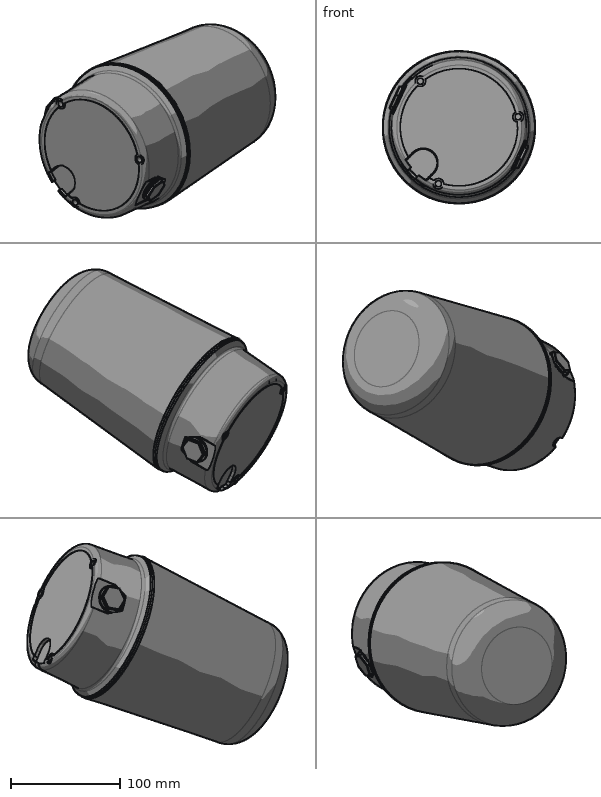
import cadquery as cq
import math


OVERALL_LENGTH = 219
LIP_RADIUS = 69.97
LIP_Y = 57
SHOULDER_RADIUS = 59.5
SHOULDER_Y = 194.0
UPPER_RADIUS = 58.5
UPPER_Y = 202.5
ROUND_MID_RADIUS = 52.5
ROUND_MID_Y = 211.5
CROWN_RADIUS = 36.0
CROWN_Y = 218.3
UPPER_BULGE = 0.33

SEAL_THICKNESS = 2.0
SEAL_OUTER_RADIUS = 69.5
SEAL_INNER_RADIUS = 65.7

FLANGE_TOP_Y = LIP_Y - SEAL_THICKNESS
FLANGE_EDGE_Y = 53.0
CHAMFER_END_Y = 49.5
CHAMFER_END_RADIUS = 65.3
NECK_SAG = 0.5
WALL_TOP_RADIUS = 64.0
WALL_TOP_Y = 46.5
WALL_BOTTOM_RADIUS = 61.8
FACE_FILLET = 4.5
FACE_RADIUS = WALL_BOTTOM_RADIUS - FACE_FILLET

SCREW_ANGLES = (10, 130, 250)
SCREW_CIRCLE_RADIUS = 55.0
SCREW_HOLE_RADIUS = 2.8
SCREW_HOLE_DEPTH = 8.8
BOSS_RADIUS = 4.8

PLATE_RADIUS = 53.7
PLATE_POCKET_DEPTH = 3.7
PLATE_SETBACK = 0.5

ENTRY_ANGLE = 225
ENTRY_CENTRE_RADIUS = 46.2
ENTRY_RADIUS = 13.5
ENTRY_WALL_STEP = 0.9
CHANNEL_HALF_WIDTH = 5.0
SCOOP_BACK_RADIUS = 59.1
SCOOP_DEPTH = 10.7

PLUG_ANGLES = (155, -25)
PLUG_Y = 20.0
SEAT_DISTANCE = 59.5
SEAT_HALF_WIDTH = 14.5
COLLAR_RADIUS = 12.5
COLLAR_THICKNESS = 1.8
NECK_RADIUS = 9.5
NECK_HEIGHT = 0.7
HEAD_RADIUS = 11.8
HEAD_HEIGHT = 3.3
HEAD_TURN = 13
HEAD_CHAMFER = 0.7

LUG_ANGLES = (30, 41, 60)
LUG_SPAN = 4.3
LUG_RADIUS = 70.3

MARGIN = 4.4


def revolve_about_y(profile):
    return profile.close().revolve(360, (0, 0, 0), (0, 1, 0))


def face_plane(depth=0):
    """Plane parallel to the mounting face, its normal pointing into the part (+Y)."""
    return cq.Workplane(cq.Plane((0, depth, 0), (-1, 0, 0), (0, 1, 0)))


def axial_cylinder(radius, start_y, length):
    return face_plane(start_y).circle(radius).extrude(length)


def turned(shape, angle):
    """Move a shape from the +X direction to an angle measured from +X towards +Z."""
    return shape.rotate((0, 0, 0), (0, 1, 0), -angle)


def make_dome():
    profile = (
        cq.Workplane("XY")
        .moveTo(0, LIP_Y)
        .lineTo(LIP_RADIUS, LIP_Y)
        .lineTo(SHOULDER_RADIUS, SHOULDER_Y)
        .sagittaArc((UPPER_RADIUS, UPPER_Y), -UPPER_BULGE)
        .threePointArc((ROUND_MID_RADIUS, ROUND_MID_Y), (CROWN_RADIUS, CROWN_Y))
        .lineTo(0, OVERALL_LENGTH)
    )
    return revolve_about_y(profile)


def make_seal():
    seal = axial_cylinder(SEAL_OUTER_RADIUS, FLANGE_TOP_Y, SEAL_THICKNESS)
    return seal.cut(axial_cylinder(SEAL_INNER_RADIUS, FLANGE_TOP_Y, SEAL_THICKNESS))


def screw_cylinders(radius, length):
    cylinder = axial_cylinder(radius, 0, length).translate((SCREW_CIRCLE_RADIUS, 0, 0))
    return [turned(cylinder, angle) for angle in SCREW_ANGLES]


def entry_pocket():
    """Round-ended slot running outwards, its wall sloping in towards the floor."""
    length = FACE_RADIUS - ENTRY_CENTRE_RADIUS + MARGIN
    floor_radius = ENTRY_RADIUS - ENTRY_WALL_STEP
    round_end = cq.Workplane("XY").add(
        cq.Solid.makeCone(
            ENTRY_RADIUS, floor_radius, PLATE_POCKET_DEPTH,
            cq.Vector(ENTRY_CENTRE_RADIUS, 0, 0), cq.Vector(0, 1, 0),
        )
    )
    straight = (
        cq.Workplane("YZ", origin=(ENTRY_CENTRE_RADIUS, 0, 0))
        .moveTo(0, -ENTRY_RADIUS)
        .lineTo(PLATE_POCKET_DEPTH, -floor_radius)
        .lineTo(PLATE_POCKET_DEPTH, floor_radius)
        .lineTo(0, ENTRY_RADIUS)
        .close()
        .extrude(length)
    )
    pocket = round_end.union(straight).intersect(axial_cylinder(FACE_RADIUS, 0, PLATE_POCKET_DEPTH))
    return turned(pocket, ENTRY_ANGLE)


def entry_channel():
    """Narrow way out through the wall, ending in a deeper round-bottomed scoop."""
    inner = FACE_RADIUS - MARGIN
    outer = WALL_TOP_RADIUS + MARGIN
    channel = cq.Workplane("XY").box(
        outer - inner, PLATE_POCKET_DEPTH, 2 * CHANNEL_HALF_WIDTH, centered=(False, False, True)
    ).translate((inner, 0, 0))
    arc_start = SCOOP_DEPTH - CHANNEL_HALF_WIDTH
    scoop = (
        cq.Workplane("YZ", origin=(SCOOP_BACK_RADIUS, 0, 0))
        .moveTo(0, -CHANNEL_HALF_WIDTH)
        .lineTo(arc_start, -CHANNEL_HALF_WIDTH)
        .threePointArc((SCOOP_DEPTH, 0), (arc_start, CHANNEL_HALF_WIDTH))
        .lineTo(0, CHANNEL_HALF_WIDTH)
        .close()
        .extrude(outer - SCOOP_BACK_RADIUS)
    )
    return turned(channel.union(scoop), ENTRY_ANGLE)


def plug_seat():
    """Flat seat facing +X, with a half-hexagon end and open at the mounting face."""
    apothem = SEAT_HALF_WIDTH * math.cos(math.radians(30))
    half_side = SEAT_HALF_WIDTH / 2
    return (
        cq.Workplane("YZ", origin=(SEAT_DISTANCE, 0, 0))
        .moveTo(0, -SEAT_HALF_WIDTH)
        .lineTo(PLUG_Y, -SEAT_HALF_WIDTH)
        .lineTo(PLUG_Y + apothem, -half_side)
        .lineTo(PLUG_Y + apothem, half_side)
        .lineTo(PLUG_Y, SEAT_HALF_WIDTH)
        .lineTo(0, SEAT_HALF_WIDTH)
        .close()
        .extrude(WALL_TOP_RADIUS - SEAT_DISTANCE + MARGIN)
    )


def base_blank():
    fillet_mid = FACE_FILLET * math.cos(math.radians(45))
    profile = (
        cq.Workplane("XY")
        .lineTo(FACE_RADIUS, 0)
        .threePointArc(
            (FACE_RADIUS + fillet_mid, FACE_FILLET - fillet_mid), (WALL_BOTTOM_RADIUS, FACE_FILLET)
        )
        .lineTo(WALL_TOP_RADIUS, WALL_TOP_Y)
        .sagittaArc((CHAMFER_END_RADIUS, CHAMFER_END_Y), NECK_SAG)
        .lineTo(SEAL_OUTER_RADIUS, FLANGE_EDGE_Y)
        .lineTo(SEAL_OUTER_RADIUS, FLANGE_TOP_Y)
        .lineTo(SEAL_INNER_RADIUS, FLANGE_TOP_Y)
        .lineTo(SEAL_INNER_RADIUS, LIP_Y)
        .lineTo(0, LIP_Y)
    )
    return revolve_about_y(profile)


def flange_lug(angle):
    """Wedge on the flange that reaches up over the seal, its sloping side facing the mounting face."""
    wedge = (
        cq.Workplane("XY")
        .moveTo(SEAL_OUTER_RADIUS, FLANGE_EDGE_Y)
        .lineTo(LUG_RADIUS, LIP_Y)
        .lineTo(SEAL_OUTER_RADIUS, LIP_Y)
        .close()
        .revolve(LUG_SPAN, (0, 0, 0), (0, 1, 0))
    )
    centred = turned(wedge, LUG_SPAN / 2)
    return turned(centred, angle)


def plate_outline(start_y, length):
    """Disc that leaves room for the screw bosses."""
    disc = axial_cylinder(PLATE_RADIUS, start_y, length)
    for boss in screw_cylinders(BOSS_RADIUS, PLATE_POCKET_DEPTH):
        disc = disc.cut(boss)
    return disc


def make_base():
    base = base_blank()
    for boss in screw_cylinders(BOSS_RADIUS, SCREW_HOLE_DEPTH):
        base = base.union(boss)
    base = base.cut(plate_outline(0, PLATE_POCKET_DEPTH))
    for hole in screw_cylinders(SCREW_HOLE_RADIUS, SCREW_HOLE_DEPTH):
        base = base.cut(hole)
    base = base.cut(entry_pocket()).cut(entry_channel())
    for angle in PLUG_ANGLES:
        base = base.cut(turned(plug_seat(), angle))
    for angle in LUG_ANGLES:
        base = base.union(flange_lug(angle))
    return base


def make_bottom_plate():
    plate = plate_outline(PLATE_SETBACK, PLATE_POCKET_DEPTH - PLATE_SETBACK)
    return plate.cut(entry_pocket())


def make_plug(angle):
    collar = cq.Workplane("YZ", origin=(SEAT_DISTANCE, PLUG_Y, 0)).circle(COLLAR_RADIUS)
    collar = collar.extrude(COLLAR_THICKNESS)
    neck = collar.faces(">X").workplane().circle(NECK_RADIUS).extrude(NECK_HEIGHT)
    head_start = SEAT_DISTANCE + COLLAR_THICKNESS + NECK_HEIGHT
    head = (
        cq.Workplane("YZ", origin=(head_start, 0, 0))
        .polygon(6, 2 * HEAD_RADIUS)
        .extrude(HEAD_HEIGHT)
        .faces(">X")
        .chamfer(HEAD_CHAMFER)
        .rotate((0, 0, 0), (1, 0, 0), HEAD_TURN)
        .translate((0, PLUG_Y, 0))
    )
    return turned(neck.union(head), angle)


dome = make_dome()
seal = make_seal()
base = make_base()
bottom_plate = make_bottom_plate()
plugs = [make_plug(angle) for angle in PLUG_ANGLES]

result = cq.Compound.makeCompound(
    [dome.val(), seal.val(), base.val(), bottom_plate.val(), *[plug.val() for plug in plugs]]
)